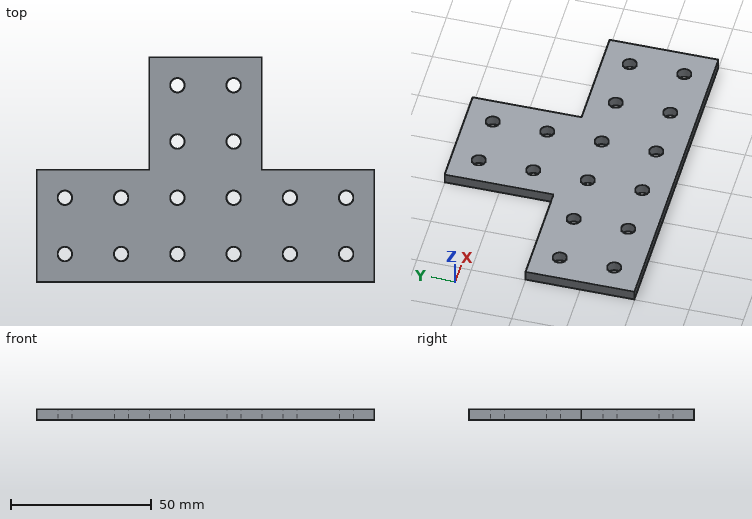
import cadquery as cq

length = 120.0
thickness = 4.0
hole_diameter = 5.0
columns = 6
bar_rows = 2
stem_rows = 2
stem_columns = 2

cell = length / columns
bar_width = bar_rows * cell
stem_width = stem_columns * cell
stem_length = stem_rows * cell


def hole_grid(column_count, row_count, first_row):
    """Hole centres of a grid block centred on the stem axis."""
    return [
        ((column - (column_count - 1) / 2) * cell, (first_row + row + 0.5) * cell)
        for column in range(column_count)
        for row in range(row_count)
    ]


bar = cq.Workplane("XY").box(length, bar_width, thickness, centered=(True, False, False))
stem = (
    cq.Workplane("XY")
    .box(stem_width, stem_length, thickness, centered=(True, False, False))
    .translate((0, bar_width, 0))
)
plate = bar.union(stem).clean()

hole_centres = hole_grid(columns, bar_rows, 0) + hole_grid(stem_columns, stem_rows, bar_rows)
holes = cq.Workplane("XY").pushPoints(hole_centres).circle(hole_diameter / 2).extrude(thickness)

result = plate.cut(holes)